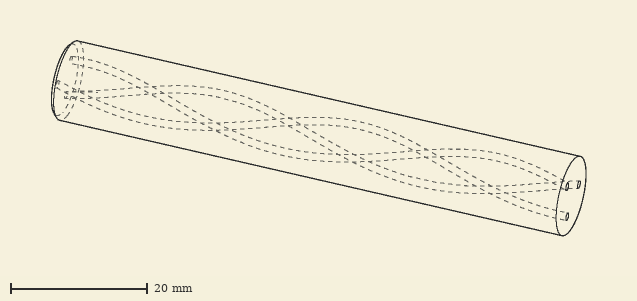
import cadquery as cq
import math

length = 80.0
diameter = 12.0
chamfer = 0.6

channel_count = 3
channel_diameter = 1.1
channel_radius = 3.1
first_channel_angle = 39.0
surface_helix_angle = 30.0
helix_pitch = math.pi * diameter / math.tan(math.radians(surface_helix_angle))
channel_twist = 360.0 * length / helix_pitch


def make_rod():
    """Solid rod with its left end chamfered."""
    rod = cq.Workplane("YZ").circle(diameter / 2).extrude(length)
    return rod.faces("<X").chamfer(chamfer)


def make_channel(angle):
    """Right-hand helical channel that starts at the given angle."""
    start_y = channel_radius * math.cos(math.radians(angle))
    start_z = channel_radius * math.sin(math.radians(angle))
    profile = cq.Wire.makeCircle(
        channel_diameter / 2, cq.Vector(0, start_y, start_z), cq.Vector(1, 0, 0)
    )
    channel = cq.Solid.extrudeLinearWithRotation(
        profile, [], cq.Vector(0, 0, 0), cq.Vector(length, 0, 0), channel_twist
    )
    return cq.Workplane(channel)


result = make_rod()
for index in range(channel_count):
    start_angle = first_channel_angle + index * 360.0 / channel_count
    result = result.cut(make_channel(start_angle))